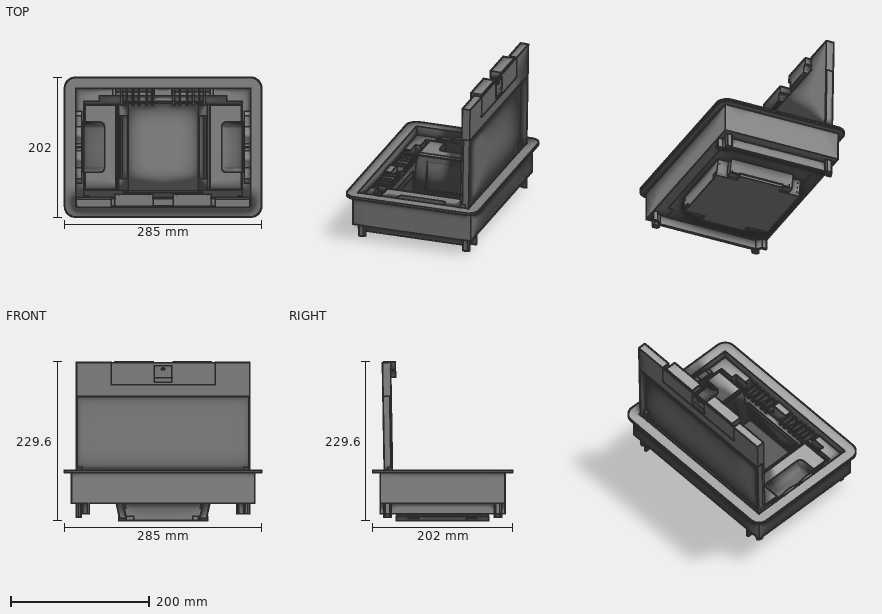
import cadquery as cq
import math


FRAME_X, FRAME_Y, FRAME_THICKNESS = 285.0, 202.0, 4.0
FRAME_CORNER_RADIUS = 16.0
FRAME_EDGE_CHAMFER = 0.9
BOX_X, BOX_Y, BOX_BOTTOM = 265.0, 180.7, -48.2
MOUTH_X, MOUTH_Y = 253.0, 170.0
LEDGE_Z = -13.7

OPENING_HALF_X = 114.5
OPENING_FRONT_Y, OPENING_SHOULDER_Y, OPENING_BACK_Y = -72.0, 66.5, 74.5
OPENING_STEP_X = 92.0

COMB_POCKET_INNER_X, COMB_POCKET_OUTER_X = 12.5, 68.5
COMB_STEP_OUTER_X, COMB_STEP_DEPTH = 72.5, 1.5
COMB_FLOOR_Z, COMB_GUTTER_Z, COMB_GUTTER_Y = -30.0, -32.8, 80.5
FIN_TOP_Z, FIN_ROOT_HEIGHT, FIN_TIP_HEIGHT = -14.8, 14.0, 4.8
FIN_TIP_Y = 60.5
FIN_CAP_WIDTH, FIN_CAP_LENGTH = 3.7, 4.0
THIN_FIN, THICK_FIN = 1.5, 2.5
COMB_FINS = [
    (15.5, THICK_FIN),
    (24.0, THIN_FIN),
    (35.0, THIN_FIN),
    (43.5, THICK_FIN),
    (52.2, THIN_FIN),
    (59.5, THICK_FIN),
]

STRIP_INNER_X, STRIP_HALF_Y, STRIP_HEIGHT = 117.5, 52.2, 2.8
STRIP_END_RAMP = 6.5
DOME_CENTER_Y, DOME_HALF_CHORD, DOME_RISE = 17.0, 12.3, 2.8
STRIP_SLIT_WIDTH = 2.0

RAIL_BOTTOM, RAIL_OUTER_X, RAIL_END_X, RAIL_THICKNESS = -63.3, 116.5, 109.5, 2.8
RAIL_END_LENGTH = 6.5
FOOT_X, FOOT_Y = 122.0, 79.8
FOOT_HALF_WIDTH, FOOT_HALF_LENGTH, FOOT_FLAT_HALF_LENGTH = 3.5, 5.5, 3.0
FOOT_BOTTOMS = {-1: -68.5, 1: -63.3}

FLANGE_TOP = -39.5
WING_TOP, WING_HALF_Y = LEDGE_Z, 62.5
WING_INNER_X, WING_OUTER_X = 64.7, OPENING_HALF_X
WING_LIP_WIDTH, WING_LIP_Z = 1.7, -16.5
WING_BEVEL_WIDTH, WING_BEVEL_HEIGHT = 2.0, 3.5
SCOOP_INNER_X, SCOOP_HALF_Y, SCOOP_AXIS_X, SCOOP_END_RADIUS = 84.6, 36.5, 114.0, 6.8
SCOOP_LIP_ANGLE = 65.0
SCOOP_RELIEF_X = 116.8
TROUGH_BOTTOM, TROUGH_FLOOR = -73.0, -71.0
TROUGH_FLOOR_X, TROUGH_FLOOR_Y = 50.5, 63.3
TROUGH_END_X, TROUGH_END_Y = 57.0, 66.0
TROUGH_OUTER_Y, TROUGH_WALL = 66.0, 2.0
CLIP_HALF_Y, CLIP_TOP_X, CLIP_BOTTOM_X, CLIP_BOTTOM = 49.5, 67.5, 62.7, -69.8
SHOE_X, SHOE_Y, SHOE_HEIGHT = 128.8, 68.5, 5.5
SHOE_GAP_X = 85.5
END_PAD_OUTER_X, END_PAD_Y, END_PAD_HEIGHT = 53.0, 133.5, 6.0
WINDOW_HALF_Y, WINDOW_INNER_X, WINDOW_STEP_X, WINDOW_OUTER_X = 45.5, 51.3, 58.7, 62.0
WINDOW_FLOOR, WINDOW_SLOPE, WINDOW_STEP = -64.5, 0.2, 0.9
DRAIN_X, DRAIN_INNER_X, DRAIN_WIDTH = 114.5, 108.0, 1.7

LID_TILT = 1.0
LID_FRONT_Y, LID_BACK_Y = -84.5, -72.5
LID_X, LID_BOTTOM, LID_TOP = 250.8, -13.0, 155.5
LID_PANEL_TOP, LID_PANEL_DEPTH, LID_RIM = 106.5, 9.7, 1.5
LID_CORNER_X, LID_CORNER_TOP, LID_CORNER_DEPTH = 7.5, 4.0, 4.3
LATCH_X, LATCH_BOTTOM, LATCH_THICKNESS = 150.5, 123.7, 2.0
HOOK_INNER_X, HOOK_OUTER_X = 14.5, 69.5
HOOK_BOTTOM, HOOK_TOP, HOOK_BACK_Y = 134.0, 156.5, -65.5
HOOK_SHOULDER_Z, HOOK_NARROWING = 146.0, 5.0
BUTTON_X, BUTTON_BOTTOM, BUTTON_TOP, BUTTON_DEPTH = 25.0, 127.0, 151.0, 0.5
MARK_RADIUS, MARK_Z = 2.5, 145.4


def block(x0, x1, y0, y1, z0, z1):
    """Box between two corners, given in any order along X."""
    left = min(x0, x1)
    return cq.Workplane("XY").box(abs(x1 - x0), y1 - y0, z1 - z0, centered=False).translate((left, y0, z0))


def prism_xy(points, z0, z1):
    """Vertical prism on a plan outline."""
    return cq.Workplane("XY", origin=(0, 0, z0)).polyline(points).close().extrude(z1 - z0)


def prism_xz(points, half_y):
    """Prism along Y on an X-Z outline, centred on Y = 0."""
    return cq.Workplane("XZ", origin=(0, half_y, 0)).polyline(points).close().extrude(2 * half_y)


def mirrored(points):
    """Complete an outline that is symmetric about X = 0."""
    return points + [(-x, other) for x, other in reversed(points)]


def opening_prism(z0, z1):
    """Prism on the stepped outline of the ledge opening."""
    right_side = [
        (OPENING_HALF_X, OPENING_FRONT_Y),
        (OPENING_HALF_X, OPENING_SHOULDER_Y),
        (OPENING_STEP_X, OPENING_SHOULDER_Y),
        (OPENING_STEP_X, OPENING_BACK_Y),
    ]
    return prism_xy(mirrored(right_side), z0, z1)


def comb_fin(x, thickness):
    """Tapered fin from the rear wall with a wider cap at its tip."""
    root_y = MOUTH_Y / 2
    outline = [
        (root_y, FIN_TOP_Z),
        (FIN_TIP_Y, FIN_TOP_Z),
        (FIN_TIP_Y, FIN_TOP_Z - FIN_TIP_HEIGHT),
        (root_y, FIN_TOP_Z - FIN_ROOT_HEIGHT),
    ]
    fin = cq.Workplane("YZ", origin=(x - thickness / 2, 0, 0)).polyline(outline).close().extrude(thickness)
    cap_half = FIN_CAP_WIDTH / 2
    cap = block(x - cap_half, x + cap_half, FIN_TIP_Y, FIN_TIP_Y + FIN_CAP_LENGTH,
                FIN_TOP_Z - FIN_TIP_HEIGHT, FIN_TOP_Z - FIN_TIP_HEIGHT / 2)
    return fin.union(cap)


def bumped_strip(side):
    """Strip on a side ledge with ramped ends and two domes."""
    base_z = LEDGE_Z + STRIP_HEIGHT
    dome_start = DOME_CENTER_Y - DOME_HALF_CHORD
    dome_end = DOME_CENTER_Y + DOME_HALF_CHORD
    dome_top = base_z + DOME_RISE
    width = MOUTH_X / 2 - STRIP_INNER_X
    strip = (
        cq.Workplane("YZ", origin=(STRIP_INNER_X, 0, 0))
        .moveTo(-STRIP_HALF_Y, LEDGE_Z)
        .lineTo(-STRIP_HALF_Y + STRIP_END_RAMP, base_z)
        .lineTo(-dome_end, base_z)
        .threePointArc((-DOME_CENTER_Y, dome_top), (-dome_start, base_z))
        .lineTo(dome_start, base_z)
        .threePointArc((DOME_CENTER_Y, dome_top), (dome_end, base_z))
        .lineTo(STRIP_HALF_Y - STRIP_END_RAMP, base_z)
        .lineTo(STRIP_HALF_Y, LEDGE_Z)
        .close()
        .extrude(width)
    )
    strip = strip.cut(
        block(STRIP_INNER_X, MOUTH_X / 2, -STRIP_SLIT_WIDTH / 2, STRIP_SLIT_WIDTH / 2, LEDGE_Z, base_z)
    )
    return strip if side > 0 else strip.mirror("YZ")


def rail(side):
    """Rail along Y whose ends jog inwards."""
    end_y = BOX_Y / 2
    jog_start = end_y - RAIL_END_LENGTH
    jog_end = jog_start - (RAIL_OUTER_X - RAIL_END_X)
    outer = [(RAIL_END_X, end_y), (RAIL_END_X, jog_start), (RAIL_OUTER_X, jog_end)]
    outer += [(x, -y) for x, y in reversed(outer)]
    inner = [(x - RAIL_THICKNESS, y) for x, y in reversed(outer)]
    return prism_xy([(side * x, y) for x, y in outer + inner], RAIL_BOTTOM, BOX_BOTTOM)


def foot(side, y):
    """Six-sided foot, pointed at both Y ends."""
    corner = (FOOT_HALF_WIDTH, FOOT_FLAT_HALF_LENGTH)
    outline = [
        corner,
        (0, FOOT_HALF_LENGTH),
        (-corner[0], corner[1]),
        (-corner[0], -corner[1]),
        (0, -FOOT_HALF_LENGTH),
        (corner[0], -corner[1]),
    ]
    return prism_xy(outline, FOOT_BOTTOMS[side], BOX_BOTTOM).translate((side * FOOT_X, y, 0))


def scoop_radius():
    return (SCOOP_AXIS_X - SCOOP_INNER_X) / math.sin(math.radians(SCOOP_LIP_ANGLE))


def scoop_depth():
    return scoop_radius() * (1 - math.cos(math.radians(SCOOP_LIP_ANGLE)))


def make_housing():
    frame = (
        cq.Workplane("XY", origin=(0, 0, -FRAME_THICKNESS))
        .rect(FRAME_X, FRAME_Y)
        .extrude(FRAME_THICKNESS)
        .edges("|Z")
        .fillet(FRAME_CORNER_RADIUS)
        .faces("<Z")
        .chamfer(FRAME_EDGE_CHAMFER)
    )
    box = block(-BOX_X / 2, BOX_X / 2, -BOX_Y / 2, BOX_Y / 2, BOX_BOTTOM, -FRAME_THICKNESS)
    mouth = block(-MOUTH_X / 2, MOUTH_X / 2, -MOUTH_Y / 2, MOUTH_Y / 2, LEDGE_Z, 0)
    housing = frame.union(box).cut(mouth).cut(opening_prism(BOX_BOTTOM, 0))

    for side in (-1, 1):
        inner, outer = side * COMB_POCKET_INNER_X, side * COMB_POCKET_OUTER_X
        pocket = block(inner, outer, OPENING_BACK_Y, COMB_GUTTER_Y, COMB_FLOOR_Z, LEDGE_Z)
        gutter = block(inner, outer, COMB_GUTTER_Y, MOUTH_Y / 2, COMB_GUTTER_Z, LEDGE_Z)
        step = block(outer, side * COMB_STEP_OUTER_X, OPENING_BACK_Y, MOUTH_Y / 2,
                     LEDGE_Z - COMB_STEP_DEPTH, LEDGE_Z)
        scoop_relief = block(side * OPENING_HALF_X, side * SCOOP_RELIEF_X, -SCOOP_HALF_Y, SCOOP_HALF_Y,
                             LEDGE_Z - scoop_depth(), LEDGE_Z)
        housing = housing.cut(pocket).cut(gutter).cut(step).cut(scoop_relief)
        for fin_x, thickness in COMB_FINS:
            housing = housing.union(comb_fin(side * fin_x, thickness))
        housing = housing.union(bumped_strip(side)).union(rail(side))
        for foot_y in (-FOOT_Y, FOOT_Y):
            housing = housing.union(foot(side, foot_y))
    return housing


def trough_half_width(z):
    """Inner half width of the trough, which narrows evenly from the wings to the floor."""
    taper = (WING_INNER_X - TROUGH_FLOOR_X) / (WING_TOP - TROUGH_FLOOR)
    return TROUGH_FLOOR_X + taper * (z - TROUGH_FLOOR)


def trough_cavity():
    """Sloped main cavity and the narrower, shallower cavity at both ends."""
    main = prism_xz(mirrored([(TROUGH_FLOOR_X, TROUGH_FLOOR), (WING_INNER_X, WING_TOP)]), WING_HALF_Y)
    ends = (
        cq.Workplane("XY", origin=(0, 0, TROUGH_FLOOR))
        .rect(2 * TROUGH_FLOOR_X, 2 * TROUGH_FLOOR_Y)
        .workplane(offset=FLANGE_TOP - TROUGH_FLOOR)
        .rect(2 * TROUGH_END_X, 2 * TROUGH_END_Y)
        .loft()
    )
    return main.union(ends)


def wing(side):
    """Wing block under a bevelled panel, with a low lip along the trough."""
    block_top = WING_TOP - WING_BEVEL_HEIGHT
    panel_inner_x = WING_INNER_X + WING_LIP_WIDTH
    panel_length = WING_OUTER_X - panel_inner_x
    base = block(0, side * WING_OUTER_X, -WING_HALF_Y, WING_HALF_Y, FLANGE_TOP, block_top)
    lip = block(0, side * panel_inner_x, -WING_HALF_Y, WING_HALF_Y, block_top, WING_LIP_Z)
    panel = (
        cq.Workplane("XY", origin=(side * (panel_inner_x + panel_length / 2), 0, block_top))
        .rect(panel_length, 2 * WING_HALF_Y)
        .workplane(offset=WING_BEVEL_HEIGHT)
        .rect(panel_length - 2 * WING_BEVEL_WIDTH, 2 * (WING_HALF_Y - WING_BEVEL_WIDTH))
        .loft()
    )
    return base.union(lip).union(panel)


def scoop(side):
    """Cylindrical finger scoop with rounded ends, deepest at the outer side of the wing."""
    axis_z = WING_TOP + scoop_radius() - scoop_depth()
    return (
        cq.Workplane("XZ", origin=(side * SCOOP_AXIS_X, SCOOP_HALF_Y, axis_z))
        .circle(scoop_radius())
        .extrude(2 * SCOOP_HALF_Y)
        .edges()
        .fillet(SCOOP_END_RADIUS)
    )


def wall_window(side):
    """Window in the trough wall whose stepped floor slopes down outwards."""
    step_z = WINDOW_FLOOR - WINDOW_SLOPE * (WINDOW_STEP_X - WINDOW_INNER_X)
    outer_z = step_z - WINDOW_STEP - WINDOW_SLOPE * (WINDOW_OUTER_X - WINDOW_STEP_X)
    outline = [
        (WINDOW_INNER_X, WINDOW_FLOOR),
        (WINDOW_STEP_X, step_z),
        (WINDOW_STEP_X, step_z - WINDOW_STEP),
        (WINDOW_OUTER_X, outer_z),
        (WINDOW_OUTER_X, WING_TOP),
        (WINDOW_INNER_X, WING_TOP),
    ]
    return prism_xz([(side * x, z) for x, z in outline], WINDOW_HALF_Y)


def make_carrier():
    carrier = opening_prism(BOX_BOTTOM, FLANGE_TOP)
    trough_outline = [
        (trough_half_width(BOX_BOTTOM) + TROUGH_WALL, BOX_BOTTOM),
        (trough_half_width(TROUGH_BOTTOM) + TROUGH_WALL, TROUGH_BOTTOM),
    ]
    clips_outline = [(CLIP_TOP_X, BOX_BOTTOM), (CLIP_BOTTOM_X, CLIP_BOTTOM)]
    carrier = carrier.union(prism_xz(mirrored(trough_outline), TROUGH_OUTER_Y))
    carrier = carrier.union(prism_xz(mirrored(clips_outline), CLIP_HALF_Y))
    for side in (-1, 1):
        gap_x = side * SHOE_GAP_X / 2
        shoe = block(gap_x, side * SHOE_X / 2, -SHOE_Y / 2, SHOE_Y / 2,
                     TROUGH_BOTTOM, TROUGH_BOTTOM + SHOE_HEIGHT)
        end_pad = block(gap_x, side * END_PAD_OUTER_X, -END_PAD_Y / 2, END_PAD_Y / 2,
                        TROUGH_BOTTOM, TROUGH_BOTTOM + END_PAD_HEIGHT)
        carrier = carrier.union(wing(side)).union(shoe).union(end_pad)
    carrier = carrier.cut(trough_cavity())
    for side in (-1, 1):
        drain = block(side * DRAIN_INNER_X, side * DRAIN_X, OPENING_FRONT_Y, OPENING_FRONT_Y + DRAIN_WIDTH,
                      BOX_BOTTOM, FLANGE_TOP)
        carrier = carrier.cut(scoop(side)).cut(drain).cut(wall_window(side))
    return carrier


def leaned(body):
    """Lean an upright lid part forward about the lid's lower back line."""
    return body.rotate((0, LID_BACK_Y, 0), (1, LID_BACK_Y, 0), LID_TILT)


def make_lid():
    half = LID_X / 2
    lid = block(-half, half, LID_FRONT_Y, LID_BACK_Y, LID_BOTTOM, LID_TOP)
    panel_half = half - LID_RIM
    panel_back = LID_FRONT_Y + LID_PANEL_DEPTH
    lid = lid.cut(block(-panel_half, panel_half, LID_FRONT_Y, panel_back, LID_BOTTOM, LID_PANEL_TOP))
    for side in (-1, 1):
        corner = block(side * panel_half, side * (panel_half - LID_CORNER_X), panel_back - LID_CORNER_DEPTH,
                       panel_back, LID_BOTTOM, LID_CORNER_TOP)
        lid = lid.union(corner)
    latch_half = LATCH_X / 2
    plate_seat = block(-latch_half, latch_half, LID_FRONT_Y, LID_FRONT_Y + LATCH_THICKNESS, LATCH_BOTTOM, LID_TOP)
    hook_gap = block(-latch_half, latch_half, LID_FRONT_Y, LID_BACK_Y, HOOK_BOTTOM, LID_TOP)
    return leaned(lid.cut(plate_seat).cut(hook_gap))


def hook(side):
    """Latch hook whose lower part is narrowed by quarter-round shoulders."""
    front_y = LID_FRONT_Y + LATCH_THICKNESS
    low_inner, low_outer = HOOK_INNER_X + HOOK_NARROWING, HOOK_OUTER_X - HOOK_NARROWING
    arc_z = HOOK_SHOULDER_Z - HOOK_NARROWING
    bow = HOOK_NARROWING * math.sin(math.radians(45))
    body = (
        cq.Workplane("XZ", origin=(0, HOOK_BACK_Y, 0))
        .moveTo(low_inner, HOOK_BOTTOM)
        .lineTo(low_outer, HOOK_BOTTOM)
        .lineTo(low_outer, arc_z)
        .threePointArc((HOOK_OUTER_X - bow, arc_z + bow), (HOOK_OUTER_X, HOOK_SHOULDER_Z))
        .lineTo(HOOK_OUTER_X, HOOK_TOP)
        .lineTo(HOOK_INNER_X, HOOK_TOP)
        .lineTo(HOOK_INNER_X, HOOK_SHOULDER_Z)
        .threePointArc((HOOK_INNER_X + bow, arc_z + bow), (low_inner, arc_z))
        .close()
        .extrude(HOOK_BACK_Y - front_y)
    )
    return body if side > 0 else body.mirror("YZ")


def make_latch():
    half = LATCH_X / 2
    latch = block(-half, half, LID_FRONT_Y, LID_FRONT_Y + LATCH_THICKNESS, LATCH_BOTTOM, LID_TOP)
    for side in (-1, 1):
        latch = latch.union(hook(side))
    button = block(-BUTTON_X / 2, BUTTON_X / 2, LID_FRONT_Y, LID_FRONT_Y + BUTTON_DEPTH, BUTTON_BOTTOM, BUTTON_TOP)
    mark = (
        cq.Workplane("XZ", origin=(0, LID_FRONT_Y + 2 * BUTTON_DEPTH, MARK_Z))
        .moveTo(-MARK_RADIUS, 0)
        .threePointArc((0, MARK_RADIUS), (MARK_RADIUS, 0))
        .close()
        .extrude(2 * BUTTON_DEPTH)
    )
    return leaned(latch.cut(button).cut(mark))


housing = make_housing()
carrier = make_carrier()
lid = make_lid()
latch = make_latch()

result = cq.Compound.makeCompound([housing.val(), carrier.val(), lid.val(), latch.val()])